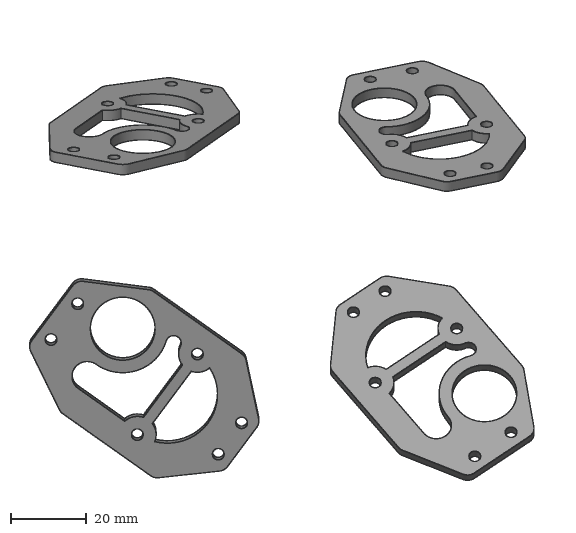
import cadquery as cq
import math

width = 41.0
length = 62.0
thickness = 3.0
corner_radius = 3.0
edge_chamfer = 0.1
top_edge_half = 7.9
bottom_edge_half = 10.95
upper_shoulder_y = 17.15
lower_shoulder_y = -13.4

screw_diameter = 3.0
end_hole_inset = 4.0
top_hole_spacing = 10.5
bottom_hole_spacing = 12.0

motor_y = 6.6
motor_hole_spacing = 27.0
boss_radius = 5.0
bar_width = 3.0
arch_radius = 13.2

bore_x = 7.5
bore_y = -13.4
bore_diameter = 17.0
ring_radius = 12.0

window_left_x = -12.45
window_tip_radius = 1.97

half_width = width / 2
half_length = length / 2
boss_x = motor_hole_spacing / 2


def make_plate():
    """Elongated octagonal plate with rounded corners."""
    corners = [
        (-top_edge_half, half_length),
        (top_edge_half, half_length),
        (half_width, upper_shoulder_y),
        (half_width, lower_shoulder_y),
        (bottom_edge_half, -half_length),
        (-bottom_edge_half, -half_length),
        (-half_width, lower_shoulder_y),
        (-half_width, upper_shoulder_y),
    ]
    plate = cq.Workplane("XY").polyline(corners).close().extrude(thickness)
    return plate.edges("|Z").fillet(corner_radius)


def make_cylinder(x, y, radius):
    """Round cutter through the full thickness."""
    return cq.Workplane("XY").center(x, y).circle(radius).extrude(thickness)


def make_arch_window():
    """Circular segment above the bar, bitten into by the two bosses."""
    bar_top = motor_y + bar_width / 2
    mask = (
        cq.Workplane("XY")
        .center(0, bar_top + arch_radius / 2)
        .rect(2 * arch_radius, arch_radius)
        .extrude(thickness)
    )
    window = make_cylinder(0, motor_y, arch_radius).intersect(mask)
    for x in (-boss_x, boss_x):
        window = window.cut(make_cylinder(x, motor_y, boss_radius))
    return window


def tip_centre():
    """Centre of the tip arc, tangent to both the ring and the right boss."""
    ring_reach = ring_radius + window_tip_radius
    boss_reach = boss_radius + window_tip_radius
    dx = boss_x - bore_x
    dy = motor_y - bore_y
    distance = math.hypot(dx, dy)
    along = (ring_reach**2 - boss_reach**2 + distance**2) / (2 * distance)
    offset = math.sqrt(ring_reach**2 - along**2)
    x = bore_x + (along * dx + offset * dy) / distance
    y = bore_y + (along * dy - offset * dx) / distance
    return x, y


def point_towards(start, target, reach):
    """Point at the given reach from start, on the line to target."""
    dx = target[0] - start[0]
    dy = target[1] - start[1]
    scale = reach / math.hypot(dx, dy)
    return start[0] + dx * scale, start[1] + dy * scale


def arc_middle(centre, radius, start, end):
    """Middle of the shorter arc from start to end."""
    chord_middle = ((start[0] + end[0]) / 2, (start[1] + end[1]) / 2)
    return point_towards(centre, chord_middle, radius)


def make_lower_window():
    """Window below the bar, wrapping round the bosses and the ring."""
    ring = (bore_x, bore_y)
    left_boss = (-boss_x, motor_y)
    right_boss = (boss_x, motor_y)
    tip = tip_centre()

    bar_bottom = motor_y - bar_width / 2
    bar_end_x = boss_x - math.sqrt(boss_radius**2 - (bar_width / 2) ** 2)
    bar_left = (-bar_end_x, bar_bottom)
    bar_right = (bar_end_x, bar_bottom)

    boss_tangent = point_towards(right_boss, tip, boss_radius)
    ring_tangent = point_towards(ring, tip, ring_radius)
    tip_right = (tip[0] + window_tip_radius, tip[1])

    ring_left = (bore_x - ring_radius, bore_y)
    round_radius = (ring_left[0] - window_left_x) / 2
    round_bottom = (window_left_x + round_radius, bore_y - round_radius)
    round_left = (window_left_x, bore_y)

    boss_drop = math.sqrt(boss_radius**2 - (window_left_x + boss_x) ** 2)
    boss_left = (window_left_x, motor_y - boss_drop)

    return (
        cq.Workplane("XY")
        .moveTo(*bar_left)
        .lineTo(*bar_right)
        .threePointArc(arc_middle(right_boss, boss_radius, bar_right, boss_tangent), boss_tangent)
        .threePointArc(tip_right, ring_tangent)
        .threePointArc(arc_middle(ring, ring_radius, ring_tangent, ring_left), ring_left)
        .threePointArc(round_bottom, round_left)
        .lineTo(*boss_left)
        .threePointArc(arc_middle(left_boss, boss_radius, boss_left, bar_left), bar_left)
        .close()
        .extrude(thickness)
    )


def cut_screw_holes(plate):
    """Three rows of two holes, each row centred on the plate."""
    hole_rows = [
        (half_length - end_hole_inset, top_hole_spacing),
        (motor_y, motor_hole_spacing),
        (-half_length + end_hole_inset, bottom_hole_spacing),
    ]
    for y, spacing in hole_rows:
        for x in (-spacing / 2, spacing / 2):
            plate = plate.cut(make_cylinder(x, y, screw_diameter / 2))
    return plate


def break_edges(plate):
    """Small chamfer round the outline and every opening, top and bottom."""
    return plate.faces("|Z").edges().chamfer(edge_chamfer)


result = make_plate()
result = result.cut(make_arch_window())
result = result.cut(make_lower_window())
result = result.cut(make_cylinder(bore_x, bore_y, bore_diameter / 2))
result = cut_screw_holes(result)
result = break_edges(result)